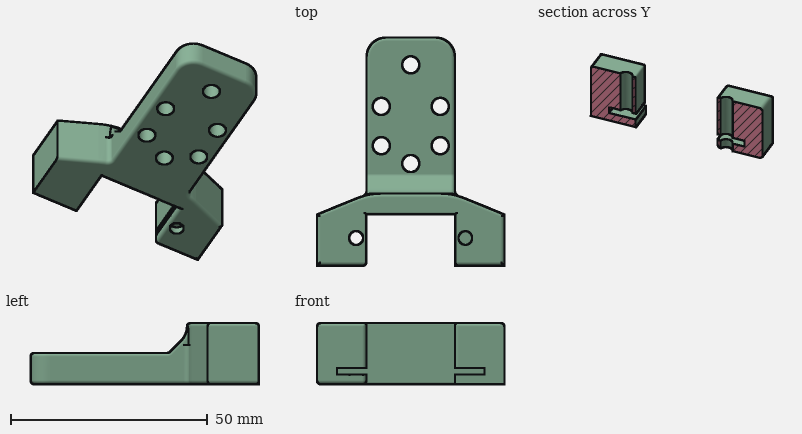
import cadquery as cq

length = 58.0
width = 47.6
height = 15.6

pocket_width = 22.5
pocket_depth = 13.05
shoulder_y = 13.05
back_y = 18.3
back_corner_x = 10.9
back_corner_radius = 17.4

bar_width = pocket_width
bar_height = 8.0
bar_corner_radius = 5.0
ramp_foot_y = 22.9
ramp_foot_radius = 1.0
ramp_head_radius = 4.8
bar_root_y = 15.1

neck_radius = 1.45
neck_height = 10.05
neck_end_y = 19.15

edge_radius = 1.0
pocket_edge_radius = 0.5

slot_floor = 2.5
slot_height = 1.6
slot_span = 37.35

prong_hole_diameter = 3.5
prong_hole_x = 13.85
prong_hole_y = 7.1
bar_hole_diameter = 4.3
bar_hole_side_x = 7.5
bar_hole_centres = [(0, 26.0), (0, 51.05)]
for row_y in (30.5, 40.5):
    bar_hole_centres += [(-bar_hole_side_x, row_y), (bar_hole_side_x, row_y)]

tolerance = 0.05
all_x = (-width, width)
all_z = (-height, 2 * height)


def between(x_limits, y_limits, z_limits):
    """Select edges whose centres lie within the given limits."""
    low, high = zip(x_limits, y_limits, z_limits)
    return cq.selectors.BoxSelector(low, high)


def near(value):
    """Narrow range around one coordinate."""
    return (value - tolerance, value + tolerance)


def make_fork():
    """Sharp-edged fork with the sloping shoulders curving into its back."""
    half = width / 2
    inner = pocket_width / 2
    outline = [
        (-half, 0), (-half, shoulder_y), (-back_corner_x, back_y), (back_corner_x, back_y),
        (half, shoulder_y), (half, 0), (inner, 0), (inner, pocket_depth),
        (-inner, pocket_depth), (-inner, 0),
    ]
    fork = cq.Workplane("XY").polyline(outline).close().extrude(height)
    back_corners = between((-half / 2, half / 2), near(back_y), all_z)
    return fork.edges("|Z").edges(back_corners).fillet(back_corner_radius)


def pocket_rim(solid, z):
    """Edges around the pocket at one level."""
    reach = pocket_width / 2 + tolerance
    return solid.edges(between((-reach, reach), (tolerance, pocket_depth + tolerance), near(z)))


def outer_rim(solid, face):
    """Edges of the top or bottom face, other than those around the pocket."""
    face_rim = solid.faces(face).edges()
    z = face_rim.val().Center().z
    pocket_edges = pocket_rim(solid, z).vals()
    return [edge for edge in face_rim.vals() if edge not in pocket_edges]


def round_fork(fork):
    """Round the top rim of the fork and the inner front upright corners of both prongs."""
    reach = pocket_width / 2 + tolerance
    uprights = fork.edges("|Z").edges(between((-reach, reach), near(0), all_z)).vals()
    fork = fork.newObject(outer_rim(fork, ">Z") + uprights).fillet(edge_radius)
    fork = pocket_rim(fork, height).fillet(pocket_edge_radius)
    square_corner = (
        cq.Workplane("XY", origin=(pocket_width / 2, 0, 0))
        .rect(2 * edge_radius, 2 * edge_radius)
        .extrude(slot_floor)
        .intersect(make_fork())
    )
    return fork.union(square_corner)


def round_underside(solid):
    """Round the bottom rim and the back of the pocket, leaving the right prong sharp."""
    def on_right_prong(edge):
        centre = edge.Center()
        return centre.x > pocket_width / 2 - tolerance and centre.y < pocket_depth - tolerance

    rounded = [edge for edge in outer_rim(solid, "<Z") if not on_right_prong(edge)]
    solid = solid.newObject(rounded).fillet(edge_radius)
    back_edge = solid.edges(between((-edge_radius, edge_radius), near(pocket_depth), near(0)))
    return back_edge.fillet(pocket_edge_radius)


def make_bar():
    """Bar with its ramp; its top and ramp edges are rounded, its underside is left sharp."""
    ramp_head_z = bar_height + ramp_foot_y - back_y
    root_z = height - edge_radius
    profile = [
        (bar_root_y, 0), (length, 0), (length, bar_height), (ramp_foot_y, bar_height),
        (back_y, ramp_head_z), (back_y, root_z), (bar_root_y, root_z),
    ]
    bar = cq.Workplane("YZ", origin=(-bar_width / 2, 0, 0)).polyline(profile).close().extrude(bar_width)
    bar = bar.edges(between(all_x, near(ramp_foot_y), near(bar_height))).fillet(ramp_foot_radius)
    bar = bar.edges(between(all_x, near(back_y), near(ramp_head_z))).fillet(ramp_head_radius)
    bar = bar.edges("|Z and >Y").fillet(bar_corner_radius)
    upper_sides = between(all_x, (back_y + tolerance, length), (bar_height - tolerance, height))
    return bar.faces("<X or >X").edges("not |Z").edges(upper_sides).fillet(edge_radius)


def make_neck():
    """Fillets in the upright corners between the shoulders and the sides of the bar."""
    bar_stub = (
        cq.Workplane("XY", origin=(0, bar_root_y, 0))
        .box(bar_width, neck_end_y - bar_root_y, neck_height, centered=(True, False, False))
    )
    slab = (
        cq.Workplane("XY", origin=(0, pocket_depth, 0))
        .box(width, length, neck_height, centered=(True, False, False))
    )
    blank = make_fork().intersect(slab).union(bar_stub)
    corners = between((-bar_width / 2 - tolerance, bar_width / 2 + tolerance), (bar_root_y, back_y), all_z)
    return blank.edges("|Z").edges(corners).fillet(neck_radius)


def make_slot():
    """Straight slot through both prongs, level with the back wall of the pocket."""
    return (
        cq.Workplane("XY", origin=(0, pocket_depth / 2, slot_floor))
        .rect(slot_span, pocket_depth)
        .extrude(slot_height)
    )


def make_hole(x, y, diameter, floor):
    """Upright hole from the given floor to the top of the part."""
    return cq.Workplane("XY", origin=(x, y, floor)).circle(diameter / 2).extrude(height - floor)


body = round_fork(make_fork()).union(make_neck()).union(make_bar())
result = round_underside(body).cut(make_slot())

result = result.cut(make_hole(-prong_hole_x, prong_hole_y, prong_hole_diameter, 0))
result = result.cut(make_hole(prong_hole_x, prong_hole_y, prong_hole_diameter, slot_floor))

for hole_x, hole_y in bar_hole_centres:
    result = result.cut(make_hole(hole_x, hole_y, bar_hole_diameter, 0))